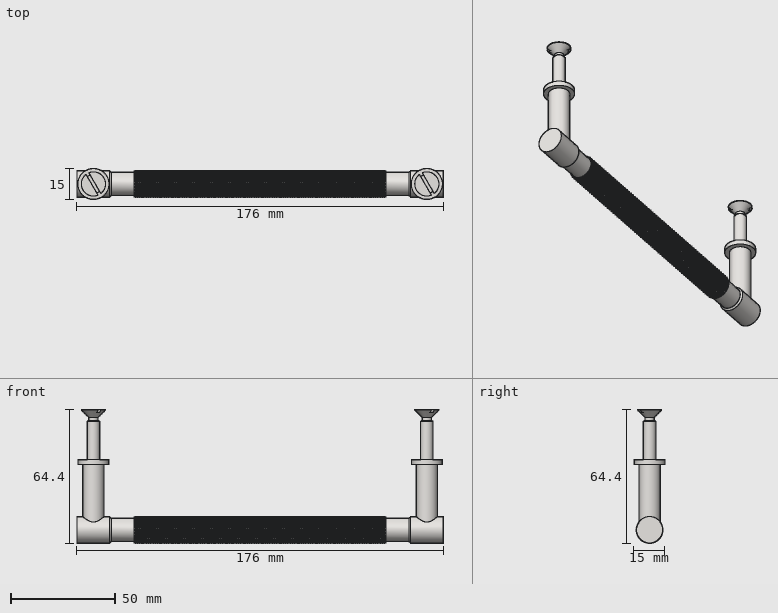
import cadquery as cq
import math

overall_length = 176.0
screw_top_z = 57.9
post_offset_x = 80.0

bar_diameter = 11.3
grip_radius = 6.5
grip_length = 121.0
knurl_depth = 0.4
knurl_starts = 24
knurl_steps = 140

tee_diameter = 12.8
tee_length = 16.5
tee_chamfer = 0.9
post_diameter = 10.4
flange_diameter = 15.0
flange_thickness = 2.5
flange_top_z = 33.8

screw_diameter = 6.2
screw_engagement = 6.2
shank_top_z = 52.6
shank_chamfer = 0.5
neck_radius = 2.3
head_radius = 5.8
head_rim = 0.4
slot_width = 1.5
slot_depth = 1.5
slot_angle = 120.0

half_length = overall_length / 2
tee_inner_x = half_length - tee_length
half_grip = grip_length / 2
bar_radius = bar_diameter / 2
tee_radius = tee_diameter / 2
post_radius = post_diameter / 2
flange_radius = flange_diameter / 2
screw_radius = screw_diameter / 2
knurl_root_radius = grip_radius - knurl_depth
screw_tip_z = flange_top_z - screw_engagement
cone_bottom_z = screw_top_z - head_rim - (head_radius - neck_radius)


def knurl_point(step, column):
    """Lattice point of the knurl: odd step + column is a diamond peak, even is a valley corner."""
    is_end = step in (0, knurl_steps)
    is_peak = (step + column) % 2 == 1 and not is_end
    radius = grip_radius if is_peak else knurl_root_radius
    angle = math.pi * column / knurl_starts
    x = -half_grip + grip_length * step / knurl_steps
    return cq.Vector(x, radius * math.cos(angle), radius * math.sin(angle))


def make_knurl_faces():
    """Four sloping triangles around every diamond peak; the two end rows have half diamonds."""
    faces = []
    for step in range(knurl_steps + 1):
        for column in range(1 - step % 2, 2 * knurl_starts, 2):
            peak = knurl_point(step, column)
            for end_step in (step - 1, step + 1):
                if not 0 <= end_step <= knurl_steps:
                    continue
                tip = knurl_point(end_step, column)
                for side_column in (column - 1, column + 1):
                    corner = knurl_point(step, side_column % (2 * knurl_starts))
                    outline = cq.Wire.makePolygon([peak, tip, corner], close=True)
                    faces.append(cq.Face.makeFromWires(outline))
    return faces


def make_grip_end(step):
    """Flat polygonal end of the knurled grip."""
    corners = [knurl_point(step, column) for column in range(2 * knurl_starts)]
    return cq.Face.makeFromWires(cq.Wire.makePolygon(corners, close=True))


def make_bar():
    """Plain bar between the two tees, thickened in the middle by a diamond-knurled grip."""
    grip_faces = make_knurl_faces() + [make_grip_end(0), make_grip_end(knurl_steps)]
    grip = cq.Workplane(cq.Solid.makeSolid(cq.Shell.makeShell(grip_faces)))
    for side in (-1, 1):
        plain_end = (
            cq.Workplane("YZ", origin=(side * half_grip, 0, 0))
            .circle(bar_radius)
            .extrude(side * (tee_inner_x - half_grip))
        )
        grip = grip.union(plain_end)
    return grip


def make_post(side):
    """Tee, upright and flange in one piece, with a blind hole for the screw; side is -1 or +1."""
    post_x = side * post_offset_x
    tee = (
        cq.Workplane("YZ", origin=(side * tee_inner_x, 0, 0))
        .circle(tee_radius)
        .extrude(side * tee_length)
    )
    inner_end = "<X" if side > 0 else ">X"
    tee = tee.faces(inner_end).chamfer(tee_chamfer)

    upright = cq.Workplane("XY", origin=(post_x, 0, 0)).circle(post_radius).extrude(flange_top_z)
    flange = (
        cq.Workplane("XY", origin=(post_x, 0, flange_top_z))
        .circle(flange_radius)
        .extrude(-flange_thickness)
    )
    screw_hole = (
        cq.Workplane("XY", origin=(post_x, 0, screw_tip_z))
        .circle(screw_radius)
        .extrude(screw_engagement)
    )
    return tee.union(upright).union(flange).cut(screw_hole)


def make_screw(side):
    """Slotted countersunk screw with an undercut neck, standing in the post; side is -1 or +1."""
    post_x = side * post_offset_x
    body = (
        cq.Workplane("XZ")
        .moveTo(0, screw_tip_z)
        .lineTo(screw_radius, screw_tip_z)
        .lineTo(screw_radius, shank_top_z - shank_chamfer)
        .lineTo(screw_radius - shank_chamfer, shank_top_z)
        .lineTo(neck_radius, shank_top_z)
        .lineTo(neck_radius, cone_bottom_z)
        .lineTo(head_radius, screw_top_z - head_rim)
        .lineTo(head_radius, screw_top_z)
        .lineTo(0, screw_top_z)
        .close()
        .revolve(360, (0, 0, 0), (0, 1, 0))
    )
    slot = (
        cq.Workplane("XY", origin=(0, 0, screw_top_z))
        .transformed(rotate=(0, 0, slot_angle))
        .rect(2 * head_radius, slot_width)
        .extrude(-slot_depth)
    )
    return body.cut(slot).translate((post_x, 0, 0))


sides = (-1, 1)
bar = make_bar()
posts = [make_post(side) for side in sides]
screws = [make_screw(side) for side in sides]

result = cq.Compound.makeCompound(
    [bar.val(), *(post.val() for post in posts), *(screw.val() for screw in screws)]
)